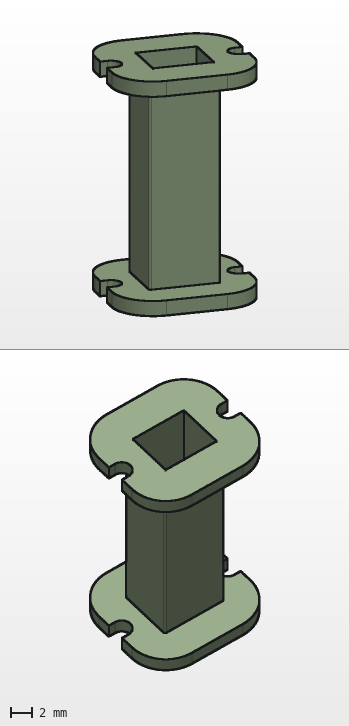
import cadquery as cq

height = 23.0
flange_x = 13.0
flange_y = 14.0
flange_thickness = 1.5
flange_corner_radius = 4.0

bore_x = 5.0
bore_y = 6.0
wall = 0.5
tube_edge_radius = 0.2
tube_x = bore_x + 2 * wall
tube_y = bore_y + 2 * wall

notch_width = 2.0
notch_depth = 1.75
notch_radius = notch_width / 2


def notch_cutter(side):
    """Full-height cutter for the notch on the +Y (side=1) or -Y (side=-1) end."""
    edge_y = side * flange_y / 2
    center_y = edge_y - side * (notch_depth - notch_radius)
    round_bottom = cq.Workplane("XY").center(0, center_y).circle(notch_radius).extrude(height)
    mouth = (
        cq.Workplane("XY")
        .center(0, center_y + side * notch_depth / 2)
        .rect(notch_width, notch_depth)
        .extrude(height)
    )
    return round_bottom.union(mouth)


def flange(bottom_z):
    """Rounded plate whose lower face is at bottom_z."""
    return (
        cq.Workplane("XY", origin=(0, 0, bottom_z))
        .rect(flange_x, flange_y)
        .extrude(flange_thickness)
        .edges("|Z")
        .fillet(flange_corner_radius)
    )


tube = cq.Workplane("XY").rect(tube_x, tube_y).extrude(height).edges("|Z").fillet(tube_edge_radius)
bore = cq.Workplane("XY").rect(bore_x, bore_y).extrude(height)

result = tube.union(flange(0)).union(flange(height - flange_thickness)).cut(bore)
for end in (-1, 1):
    result = result.cut(notch_cutter(end))